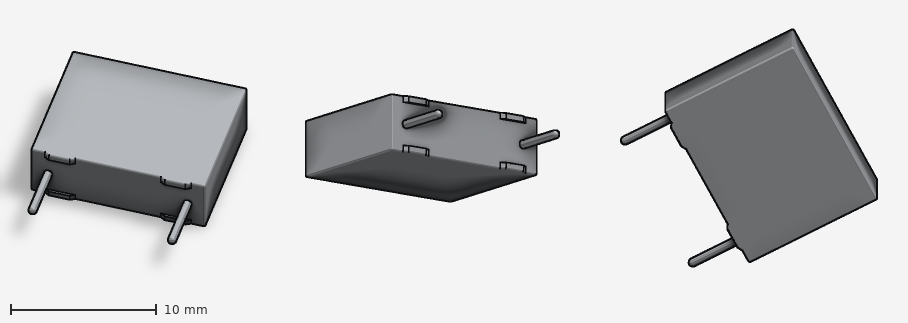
import cadquery as cq

case_width = 12.5
case_length = 10.0
case_thickness = 4.0
edge_radius = 0.15

foot_height = 0.2
foot_thickness = 0.47
foot_inset = 1.0
foot_base_width = 2.2
foot_slope_run = 0.35

lead_diameter = 0.6
lead_length = 4.0
lead_pitch = 10.0

half_width = case_width / 2
lead_radius = lead_diameter / 2


def make_case_outline():
    """Case outline in the XY plane, with two feet standing out towards -Y."""
    foot_outer = half_width - foot_inset
    foot_inner = foot_outer - foot_base_width
    tip_outer = foot_outer - foot_slope_run
    tip_inner = foot_inner + foot_slope_run
    return (
        cq.Workplane("XY", origin=(0, 0, -case_thickness / 2))
        .moveTo(-half_width, 0)
        .lineTo(-foot_outer, 0)
        .lineTo(-tip_outer, -foot_height)
        .lineTo(-tip_inner, -foot_height)
        .lineTo(-foot_inner, 0)
        .lineTo(foot_inner, 0)
        .lineTo(tip_inner, -foot_height)
        .lineTo(tip_outer, -foot_height)
        .lineTo(foot_outer, 0)
        .lineTo(half_width, 0)
        .lineTo(half_width, case_length)
        .lineTo(-half_width, case_length)
        .close()
    )


def make_case():
    case = make_case_outline().extrude(case_thickness)

    corner_edges = case.faces("<X or >X").edges("|Z")
    rim_edges = case.faces("<Z or >Z").edges()
    case = corner_edges.add(rim_edges).fillet(edge_radius)

    gap_between_feet = case_thickness - 2 * foot_thickness
    clearance_center = (0, -foot_height / 2, 0)
    clearance = cq.Workplane("XY", origin=clearance_center).box(case_width, foot_height, gap_between_feet)
    return case.cut(clearance)


def make_lead(x_position):
    """Lead that starts on the lead face and runs towards -Y."""
    shaft_length = lead_length - lead_radius
    shaft = cq.Workplane("XZ", origin=(x_position, 0, 0)).circle(lead_radius).extrude(shaft_length)
    tip = cq.Workplane("XY", origin=(x_position, -shaft_length, 0)).sphere(lead_radius)
    return shaft.union(tip)


case = make_case()
leads = [make_lead(side * lead_pitch / 2) for side in (-1, 1)]

result = cq.Compound.makeCompound([case.val(), *[lead.val() for lead in leads]])